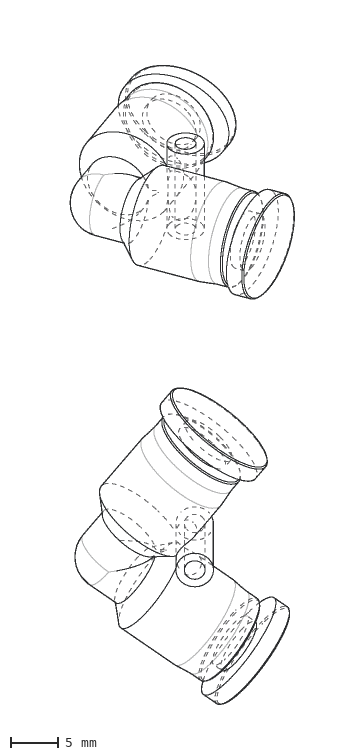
import cadquery as cq


neck_dia = 7.2
socket_dia = 11.0
rim_dia = 10.6

neck_end = 3.57
shoulder_end = 5.55
socket_end = 12.77
taper_end = 14.76
rim_end = 16.32
rim_chamfer = 0.15

eyelet_dia = 4.0
eyelet_bore_dia = 2.2
eyelet_offset = 6.53
eyelet_height = socket_dia

overall_length = 25.9
stem_dia = 6.3
flange_width = 13.0
flange_height = socket_dia
flange_thickness = 1.97
flange_chamfer = 0.15
collar_end = overall_length - flange_width / 2
flange_start = collar_end - flange_thickness


def along_y(shape):
    """Half-turn about the X = Y diagonal, which carries the X branch onto the Y branch."""
    return shape.rotate((0, 0, 0), (1, 1, 0), 180)


def make_branch():
    """Neck, conical shoulder, socket, taper and rim, revolved about the X axis."""
    profile = (
        cq.Workplane("XY")
        .moveTo(0, 0)
        .lineTo(0, neck_dia / 2)
        .lineTo(neck_end, neck_dia / 2)
        .lineTo(shoulder_end, socket_dia / 2)
        .lineTo(socket_end, socket_dia / 2)
        .lineTo(taper_end, rim_dia / 2)
        .lineTo(rim_end - rim_chamfer, rim_dia / 2)
        .lineTo(rim_end, rim_dia / 2 - rim_chamfer)
        .lineTo(rim_end, 0)
        .close()
    )
    return profile.revolve(360, (0, 0, 0), (1, 0, 0))


def make_housing():
    """Two branches joined by a ball corner, with a through-bored eyelet."""
    branch = make_branch()
    corner = cq.Workplane("XY").sphere(neck_dia / 2)
    eyelet_plane = cq.Workplane("XY", origin=(eyelet_offset, eyelet_offset, -eyelet_height / 2))
    eyelet = eyelet_plane.circle(eyelet_dia / 2).extrude(eyelet_height)
    bore = eyelet_plane.circle(eyelet_bore_dia / 2).extrude(eyelet_height)
    return branch.union(along_y(branch)).union(corner).union(eyelet).cut(bore)


def make_collar():
    """Release collar on the X branch; its stem butts against the rim face."""
    stem_length = flange_start - rim_end
    stem = cq.Workplane("YZ", origin=(rim_end, 0, 0)).circle(stem_dia / 2).extrude(stem_length)
    flange = (
        cq.Workplane("YZ", origin=(flange_start, 0, 0))
        .ellipse(flange_width / 2, flange_height / 2)
        .extrude(flange_thickness)
        .faces(">X")
        .chamfer(flange_chamfer)
    )
    return stem.union(flange)


housing = make_housing()
collar_on_x = make_collar()
collars = [collar_on_x, along_y(collar_on_x)]

bodies = [body.solids().val() for body in (housing, *collars)]
result = cq.Compound.makeCompound(bodies)